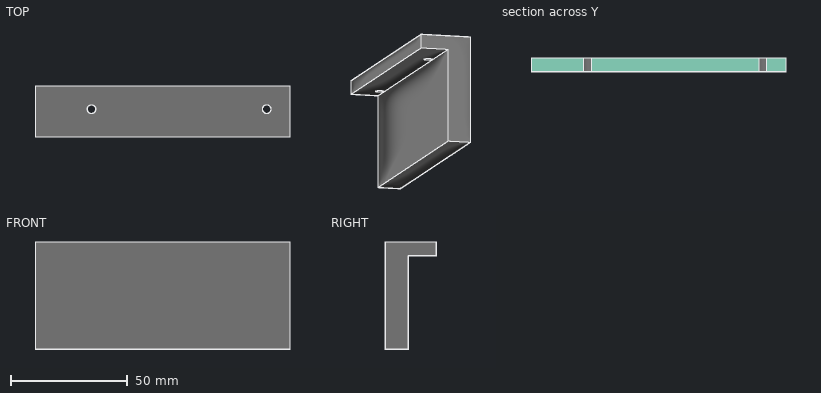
import cadquery as cq

length = 109.0
depth = 22.0
height = 46.0

wall_thickness = 10.0
flange_thickness = 6.0

hole_diameter = 3.6
hole_spacing = 75.0
hole_end_distance = 10.0
hole_front_distance = 12.0


def bracket_body():
    """Upright front wall with a flange reaching back from its top edge."""
    wall = cq.Workplane("XY").box(length, wall_thickness, height, centered=False)
    flange = (
        cq.Workplane("XY")
        .workplane(offset=height - flange_thickness)
        .box(length, depth, flange_thickness, centered=False)
    )
    return wall.union(flange)


def mounting_holes():
    """Vertical cylinders that pierce the flange just behind the wall."""
    last_hole_x = length - hole_end_distance
    first_hole_x = last_hole_x - hole_spacing
    return (
        cq.Workplane("XY")
        .workplane(offset=height - flange_thickness)
        .pushPoints([(first_hole_x, hole_front_distance), (last_hole_x, hole_front_distance)])
        .circle(hole_diameter / 2)
        .extrude(flange_thickness)
    )


result = bracket_body().cut(mounting_holes())